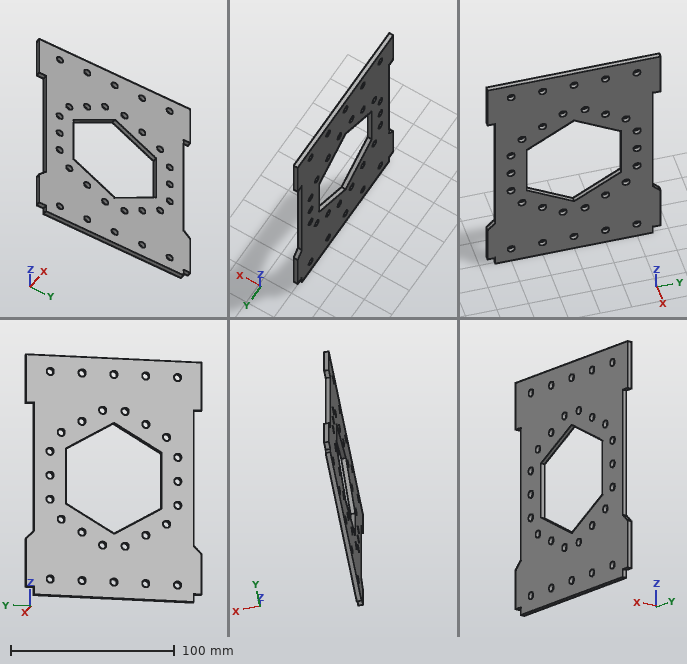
import cadquery as cq
import math

thickness = 3.0
height = 150.0
full_width = 110.0
side_step = 5.0
foot_height = 5.0
head_height = 30.0
left_slope_base = 35.0
right_slope_base = 30.0

window_flats = 60.0
hole_diameter = 4.5
row_pitch = 20.0
row_count = 5
row_edge_distance = 10.0
ring_side_distance = 40.0
ring_pitch = 15.0

half_width = full_width / 2
half_waist = half_width - side_step
center_z = height / 2


def side_profile(side, slope_base):
    """Points up one long side; side is +1 for +Y and -1 for -Y."""
    outer = side * half_width
    inner = side * half_waist
    return [
        (inner, 0),
        (inner, foot_height),
        (outer, foot_height),
        (outer, slope_base),
        (inner, slope_base + side_step),
        (inner, height - head_height),
        (outer, height - head_height),
        (outer, height),
    ]


def row_points(z):
    """Centers of one straight row of holes at height z."""
    middle = (row_count - 1) / 2
    return [((i - middle) * row_pitch, z) for i in range(row_count)]


def ring_points():
    """Three holes along each side of a hexagon around the window."""
    points = []
    for side in range(6):
        angle = math.radians(60 * side)
        for offset in (-ring_pitch, 0, ring_pitch):
            y = ring_side_distance * math.cos(angle) - offset * math.sin(angle)
            z = ring_side_distance * math.sin(angle) + offset * math.cos(angle)
            points.append((y, center_z + z))
    return points


def through_plate(sketch):
    """Extrude a closed sketch over the plate thickness."""
    return sketch.extrude(thickness / 2, both=True)


left_side = side_profile(1, left_slope_base)
right_side = side_profile(-1, right_slope_base)
outline = left_side + right_side[::-1]
plate = through_plate(cq.Workplane("YZ").polyline(outline).close())

corner_radius = window_flats / 2 / math.cos(math.radians(30))
window_corners = []
for corner in range(6):
    corner_angle = math.radians(30 + 60 * corner)
    window_corners.append(
        (corner_radius * math.cos(corner_angle), center_z + corner_radius * math.sin(corner_angle))
    )
window = through_plate(cq.Workplane("YZ").polyline(window_corners).close())

hole_centers = row_points(row_edge_distance) + row_points(height - row_edge_distance) + ring_points()
holes = through_plate(cq.Workplane("YZ").pushPoints(hole_centers).circle(hole_diameter / 2))

result = plate.cut(window).cut(holes)